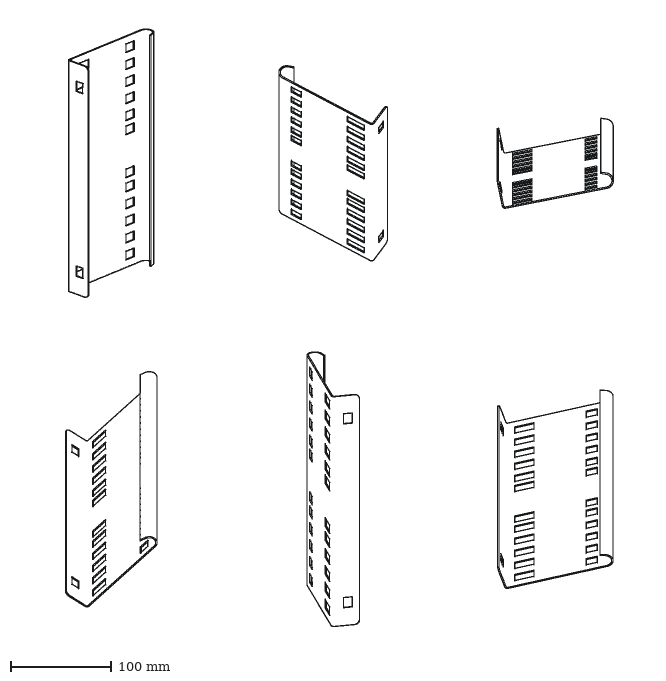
import cadquery as cq
import math

height = 250.0
depth = 114.0
flange_width = 28.5
thickness = 1.5
cutter_depth = 2 * thickness

flange_bend_radius = 3.0
hook_radius = 8.0
hook_tip_angle = 20.0
hook_tip_length = 5.8
flange_corner_radius = 5.0

slot_height = 9.2
front_slot_length = 20.0
front_slot_y = 20.0
rear_slot_length = 11.8
rear_slot_y = 90.0
inner_slot_z = 23.2
outer_slot_z = 112.2
pitched_slot_count = 5
innermost_pitched_slot_z = 38.5
slot_pitch = (outer_slot_z - innermost_pitched_slot_z) / (pitched_slot_count - 1)

flange_hole_width = 9.0
flange_hole_height = 11.0
flange_hole_x = 16.5
flange_hole_z = 100.0


def make_sheet():
    """Bent sheet: flange along X, wall along Y and a hook at the rear, extruded up Z."""
    tip = math.radians(hook_tip_angle)
    center_x = hook_radius
    center_y = depth - hook_radius
    inner_hook_radius = hook_radius - thickness
    inner_bend_radius = flange_bend_radius - thickness

    def hook_point(radius, angle):
        return (center_x + radius * math.cos(angle), center_y + radius * math.sin(angle))

    def tip_end(radius):
        x, y = hook_point(radius, tip)
        return (x + hook_tip_length * math.sin(tip), y - hook_tip_length * math.cos(tip))

    def bend_middle(radius):
        offset = flange_bend_radius - radius * math.sqrt(0.5)
        return (offset, offset)

    return (
        cq.Workplane("XY")
        .workplane(offset=-height / 2)
        .moveTo(flange_width, 0)
        .lineTo(flange_bend_radius, 0)
        .threePointArc(bend_middle(flange_bend_radius), (0, flange_bend_radius))
        .lineTo(0, center_y)
        .threePointArc(hook_point(hook_radius, math.pi / 2), hook_point(hook_radius, tip))
        .lineTo(*tip_end(hook_radius))
        .lineTo(*tip_end(inner_hook_radius))
        .lineTo(*hook_point(inner_hook_radius, tip))
        .threePointArc(hook_point(inner_hook_radius, math.pi / 2), (thickness, center_y))
        .lineTo(thickness, flange_bend_radius)
        .threePointArc(bend_middle(inner_bend_radius), (flange_bend_radius, thickness))
        .lineTo(flange_width, thickness)
        .close()
        .extrude(height)
    )


def round_flange_corners(sheet):
    """Round the two free corners of the flange."""
    return sheet.edges("|Y").edges(">X").fillet(flange_corner_radius)


def wall_slots(length, y):
    """Cutters for one column of slots through the wall."""
    upper = [outer_slot_z - i * slot_pitch for i in range(pitched_slot_count)]
    upper.append(inner_slot_z)
    centers = [(thickness / 2, y, side * z) for side in (1, -1) for z in upper]
    return (
        cq.Workplane("XY")
        .pushPoints(centers)
        .box(cutter_depth, length, slot_height)
    )


def flange_holes():
    """Cutters for the two rectangular holes through the flange."""
    centers = [(flange_hole_x, thickness / 2, side * flange_hole_z) for side in (1, -1)]
    return (
        cq.Workplane("XY")
        .pushPoints(centers)
        .box(flange_hole_width, cutter_depth, flange_hole_height)
    )


result = (
    round_flange_corners(make_sheet())
    .cut(wall_slots(front_slot_length, front_slot_y))
    .cut(wall_slots(rear_slot_length, rear_slot_y))
    .cut(flange_holes())
)